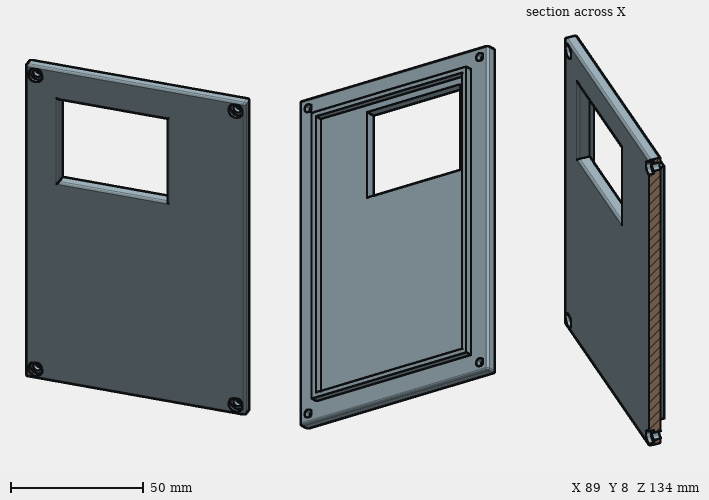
import cadquery as cq

width = 89.0
height = 134.0
depth = 8.0

plate_thickness = 5.0
edge_radius = 1.0
rim_inset = 8.0
rim_wall = 2.0

window_width = 43.8
window_height = 35.2
window_x = -9.2
window_z = 36.5

hole_inset = 4.0
hole_diameter = 3.2
counterbore_diameter = 5.6
counterbore_depth = 2.0

front_y = -depth / 2
plate_back_y = front_y + plate_thickness


def block(size_x, size_z, y_start, y_end):
    """Box centred on X and Z, spanning the given Y range."""
    return (
        cq.Workplane("XY")
        .box(size_x, y_end - y_start, size_z)
        .translate((0, (y_start + y_end) / 2, 0))
    )


def make_plate():
    """Flat plate with every outer edge rounded."""
    return block(width, height, front_y, plate_back_y).edges().fillet(edge_radius)


def make_rim():
    """Rectangular wall set in from the plate edges."""
    rim_width = width - 2 * rim_inset
    rim_height = height - 2 * rim_inset
    outside = block(rim_width, rim_height, plate_back_y, depth / 2)
    inside = block(rim_width - 2 * rim_wall, rim_height - 2 * rim_wall, plate_back_y, depth / 2)
    return outside.cut(inside)


def cut_window(body):
    """Through window whose front edges share the rounding of the plate."""
    opening = block(window_width, window_height, front_y, plate_back_y)
    opened = body.cut(opening.translate((window_x, 0, window_z)))
    window_edges = opened.faces("<Y").val().innerWires()[0].Edges()
    return opened.newObject(window_edges).fillet(edge_radius)


def drill_corner_holes(body):
    """Counterbored through holes near the four plate corners."""
    return (
        body.copyWorkplane(cq.Workplane("XZ", origin=(0, front_y, 0)))
        .rect(width - 2 * hole_inset, height - 2 * hole_inset, forConstruction=True)
        .vertices()
        .cboreHole(hole_diameter, counterbore_diameter, counterbore_depth)
    )


panel = cut_window(make_plate()).union(make_rim())
result = drill_corner_holes(panel)